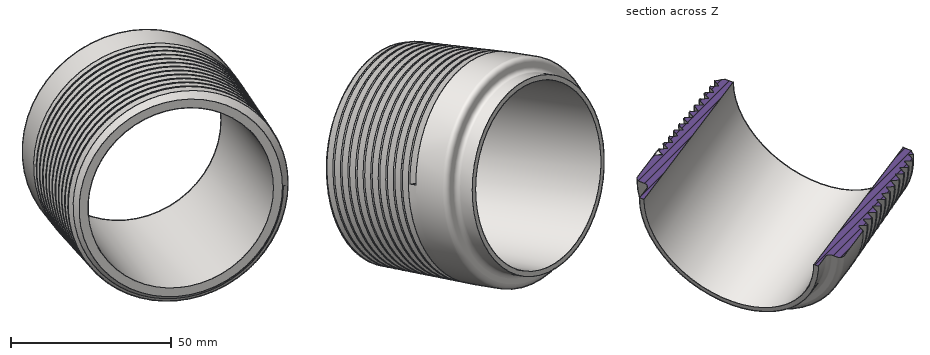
import cadquery as cq
import math

length = 58.75
bore_diameter = 60.2
neck_diameter = 63.5
neck_length = 6.3

collar_diameter = 73.45
collar_end = 18.7
collar_round = 1.7
neck_fillet = 1.5

taper = 1 / 32
pitch = 31.8 / 10
crest_width = 0.65
flank_half_angle = math.radians(30)
thread_start = 20.1
thread_turns = 12
end_chamfer_length = 2.2
end_chamfer_depth = 2.5

bore_radius = bore_diameter / 2
neck_radius = neck_diameter / 2
collar_radius = collar_diameter / 2


def crest_radius(x):
    """Radius of the thread's crest cone at a station along the axis."""
    return collar_radius - (x - collar_end) * taper


def make_body():
    """Revolve the neck, collar and tapered end about the X axis, without the thread groove."""
    arc_offset = 1 - math.sqrt(0.5)
    chamfer_start = length - end_chamfer_length
    end_radius = crest_radius(chamfer_start) - end_chamfer_depth
    return (
        cq.Workplane("XY")
        .moveTo(0, bore_radius)
        .lineTo(0, neck_radius)
        .lineTo(neck_length - neck_fillet, neck_radius)
        .threePointArc(
            (neck_length - neck_fillet * arc_offset, neck_radius + neck_fillet * arc_offset),
            (neck_length, neck_radius + neck_fillet),
        )
        .lineTo(neck_length, collar_radius - collar_round)
        .threePointArc(
            (neck_length + collar_round * arc_offset, collar_radius - collar_round * arc_offset),
            (neck_length + collar_round, collar_radius),
        )
        .lineTo(collar_end, collar_radius)
        .lineTo(chamfer_start, crest_radius(chamfer_start))
        .lineTo(length, end_radius)
        .lineTo(length, bore_radius)
        .close()
        .revolve(360, (0, 0, 0), (1, 0, 0))
    )


def make_thread_groove():
    """Sweep a V along a conical helix that widens from the small end back to the collar."""
    groove_length = thread_turns * pitch
    small_end = thread_start + groove_length
    groove_depth = (pitch - crest_width) / 2 / math.tan(flank_half_angle)
    overshoot = 0.2
    root_radius = crest_radius(small_end) - groove_depth
    mouth_radius = crest_radius(small_end) + overshoot
    half_mouth = (groove_depth + overshoot) * math.tan(flank_half_angle)

    helix = cq.Wire.makeHelix(
        pitch, groove_length, root_radius, angle=math.degrees(math.atan(taper))
    )
    groove = (
        cq.Workplane("XZ")
        .polyline([(root_radius, 0), (mouth_radius, half_mouth), (mouth_radius, -half_mouth)])
        .close()
        .sweep(cq.Workplane(helix), isFrenet=True)
    )
    thread_plane = cq.Plane(origin=(small_end, 0, 0), xDir=(0, 1, 0), normal=(-1, 0, 0))
    return groove.val().moved(cq.Location(thread_plane))


result = make_body().cut(make_thread_groove())